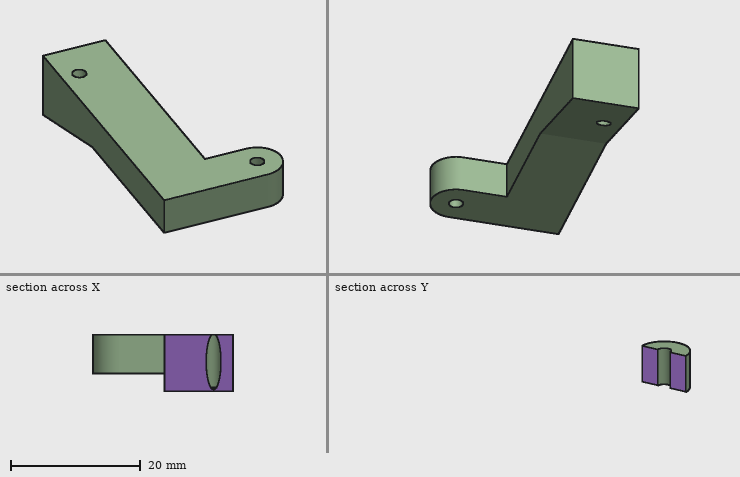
import cadquery as cq
import math

length = 44.86
beam_width = 10.57
plate_thickness = 6.0
heel_depth = 10.89
slope_angle = 15.0

arm_width = 8.0
arm_radius = arm_width / 2
arm_reach = 21.57

hole_diameter = 2.2
heel_hole_x = 6.92
heel_hole_y = 3.0

slope_length = (heel_depth - plate_thickness) / math.tan(math.radians(slope_angle))
arm_center_x = length - arm_radius
arm_center_y = arm_reach - arm_radius


def make_beam():
    """Beam with a heel that tapers up to the plain plate thickness."""
    side_profile = [
        (0, 0),
        (length, 0),
        (length, -plate_thickness),
        (slope_length, -plate_thickness),
        (0, -heel_depth),
    ]
    return cq.Workplane("XZ").polyline(side_profile).close().extrude(-beam_width)


def make_arm():
    """Arm with a full-round end, flush with the +X end of the beam."""
    return (
        cq.Workplane("XY")
        .moveTo(length - arm_width, 0)
        .lineTo(length, 0)
        .lineTo(length, arm_center_y)
        .threePointArc((arm_center_x, arm_reach), (length - arm_width, arm_center_y))
        .close()
        .extrude(-plate_thickness)
    )


def make_hole(x, y, tilt):
    """Through-hole cutter crossing the top face at (x, y), its lower end tilted toward +X."""
    half_length = 2 * heel_depth
    direction = cq.Vector(math.sin(math.radians(tilt)), 0, -math.cos(math.radians(tilt)))
    start = cq.Vector(x, y, 0) - direction * half_length
    return cq.Solid.makeCylinder(hole_diameter / 2, 2 * half_length, start, direction)


arm_hole = make_hole(arm_center_x, arm_center_y, 0)
heel_hole = make_hole(heel_hole_x, heel_hole_y, slope_angle)

result = make_beam().union(make_arm()).cut(arm_hole).cut(heel_hole)